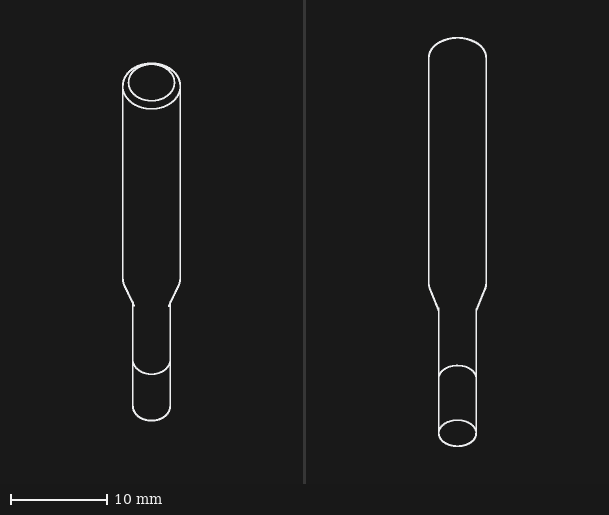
import cadquery as cq

total_length = 55.0
shank_diameter = 6.0
neck_diameter = 3.9
tip_diameter = 3.9

tip_length = 7.9
neck_top = 18.0
taper_top = 21.7

chamfer_height = 0.6
chamfer_width = 0.6


def make_cutting_tip():
    """Plain cylinder at the lower end of the tool."""
    return cq.Workplane("XY").circle(tip_diameter / 2).extrude(tip_length)


def make_shank():
    """Neck, conical taper and chamfered shank, revolved about Z."""
    neck_radius = neck_diameter / 2
    shank_radius = shank_diameter / 2
    half_profile = (
        cq.Workplane("XZ")
        .moveTo(0, tip_length)
        .lineTo(neck_radius, tip_length)
        .lineTo(neck_radius, neck_top)
        .lineTo(shank_radius, taper_top)
        .lineTo(shank_radius, total_length - chamfer_height)
        .lineTo(shank_radius - chamfer_width, total_length)
        .lineTo(0, total_length)
        .close()
    )
    return half_profile.revolve(360, (0, 0, 0), (0, 1, 0))


cutting_tip = make_cutting_tip()
shank = make_shank()

result = cq.Compound.makeCompound([cutting_tip.val(), shank.val()])